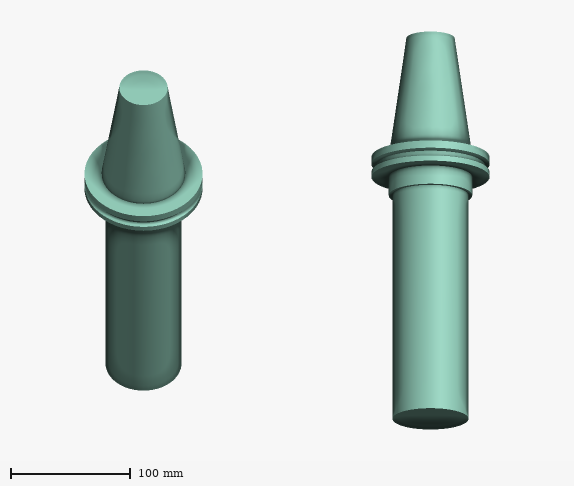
import cadquery as cq

total_height = 330.5
shank_diameter = 63.5
collar_diameter = 69.8
flange_diameter = 98.5
groove_diameter = 91.2
taper_large_diameter = collar_diameter
taper_tip_diameter = 40.3

shank_length = 194.0
collar_length = 16.0
flange_thickness = 17.5
lip_height = 1.3

lower_rim_thickness = 4.5
groove_mouth_width = 6.5
groove_floor_width = 3.5

flange_bottom = shank_length + collar_length
flange_top = flange_bottom + flange_thickness
taper_bottom = flange_top + lip_height
taper_length = total_height - taper_bottom


def cylinder(diameter, bottom, height):
    return cq.Workplane("XY", origin=(0, 0, bottom)).circle(diameter / 2).extrude(height)


def taper():
    return (
        cq.Workplane("XY", origin=(0, 0, taper_bottom))
        .circle(taper_large_diameter / 2)
        .workplane(offset=taper_length)
        .circle(taper_tip_diameter / 2)
        .loft(ruled=True)
    )


def grooved_flange():
    rim_radius = flange_diameter / 2
    floor_radius = groove_diameter / 2
    mouth_bottom = flange_bottom + lower_rim_thickness
    mouth_top = mouth_bottom + groove_mouth_width
    side_height = (groove_mouth_width - groove_floor_width) / 2
    profile = [
        (0, flange_bottom),
        (rim_radius, flange_bottom),
        (rim_radius, mouth_bottom),
        (floor_radius, mouth_bottom + side_height),
        (floor_radius, mouth_top - side_height),
        (rim_radius, mouth_top),
        (rim_radius, flange_top),
        (0, flange_top),
    ]
    return cq.Workplane("XZ").polyline(profile).close().revolve(360, (0, 0, 0), (0, 1, 0))


shank = cylinder(shank_diameter, 0, shank_length)
collar = cylinder(collar_diameter, shank_length, collar_length)
lip = cylinder(collar_diameter, flange_top, lip_height)

result = shank.union(collar).union(grooved_flange()).union(lip).union(taper())